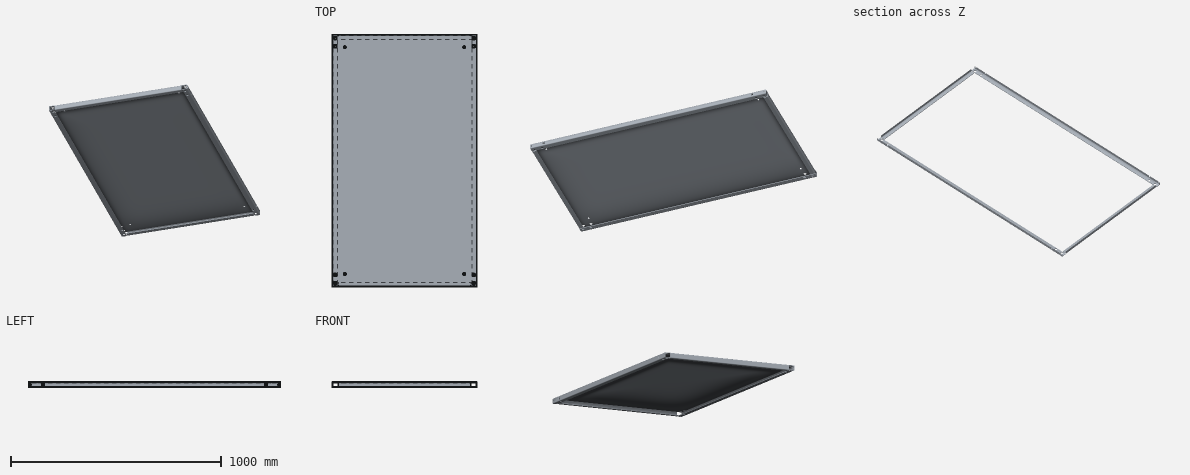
import cadquery as cq

width = 686.0
length = 1195.0
height = 25.0
sheet = 3.0
bend_radius = 4.0
inner_radius = bend_radius - sheet

side_lip = 25.0
end_lip = 22.0
corner_gap = 29.0

corner_hole_end_insets = (17.0, 55.0)
corner_hole_inset = 14.0
corner_hole_diameter = 14.0
lip_hole_inset = 17.0
lip_hole_diameter = 12.0
top_hole_diameter = 10.0
top_hole_inset = 60.0

slot_width = 8.0
slot_height = 10.0
slot_end_inset = 68.0
side_hole_diameter = 7.0
side_hole_end_inset = 7.0


def folded_tube(across, along):
    """Rounded thin-walled rectangular tube of the folded section, along Y, centred."""
    outer = cq.Workplane("XY").box(across, along, height).edges("|Y").fillet(bend_radius)
    inner = (
        cq.Workplane("XY")
        .box(across - 2 * sheet, along, height - 2 * sheet)
        .edges("|Y")
        .fillet(inner_radius)
    )
    return outer.cut(inner)


def folded_channel(across, along, lip):
    """Tube with its underside opened to leave a lip of the given width on both sides."""
    opening = cq.Workplane("XY").box(across - 2 * lip, along, height)
    return folded_tube(across, along).cut(opening.translate((0, 0, -height / 2)))


def round_holes(side_inset, end_inset, diameter, depth):
    """Four mirrored cylinders, from mid height up (positive depth) or down."""
    x = width / 2 - side_inset
    y = length / 2 - end_inset
    places = [(x, y), (-x, y), (-x, -y), (x, -y)]
    return cq.Workplane("XY").pushPoints(places).circle(diameter / 2).extrude(depth)


side_channel = folded_channel(width, length, side_lip)
end_flange_width = width - 2 * corner_gap
end_channel = folded_channel(length, end_flange_width, end_lip).rotate((0, 0, 0), (0, 0, 1), 90)

trim = cq.Workplane("XY").box(end_flange_width, bend_radius, height)
for end in (-1, 1):
    side_channel = side_channel.cut(trim.translate((0, end * (length - bend_radius) / 2, 0)))

result = side_channel.union(end_channel)

for end_inset in corner_hole_end_insets:
    result = result.cut(round_holes(corner_hole_inset, end_inset, corner_hole_diameter, height))
    result = result.cut(round_holes(lip_hole_inset, end_inset, lip_hole_diameter, -height))

result = result.cut(round_holes(top_hole_inset, top_hole_inset, top_hole_diameter, height))

for end in (-1, 1):
    slot = cq.Workplane("XY").box(width, slot_width, slot_height)
    result = result.cut(slot.translate((0, end * (length / 2 - slot_end_inset), 0)))
    side_hole = cq.Workplane("YZ").circle(side_hole_diameter / 2).extrude(width / 2, both=True)
    result = result.cut(side_hole.translate((0, end * (length / 2 - side_hole_end_inset), 0)))